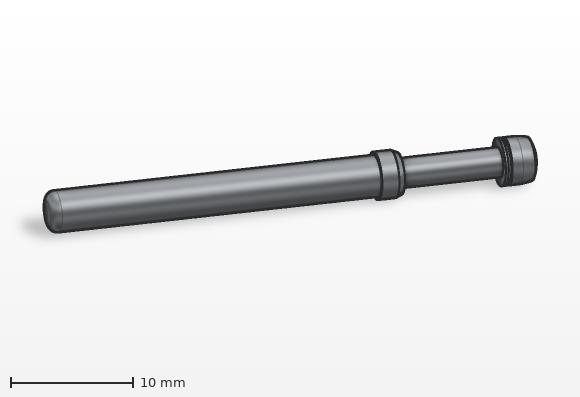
import cadquery as cq

TOTAL_LENGTH = 41.5

BARREL_RADIUS = 1.75
BARREL_END_FILLET = 0.8

COLLAR_RADIUS = 2.0
COLLAR_START = 27.95
COLLAR_LENGTH = 2.0
COLLAR_TAPER_LENGTH = 0.55
COLLAR_END = COLLAR_START + COLLAR_LENGTH

SHAFT_RADIUS = 1.25

HEAD_RADIUS = 2.0
HEAD_LENGTH = 3.07
HEAD_START = TOTAL_LENGTH - HEAD_LENGTH
RIM_LENGTH = 0.25
GROOVE_TAPER_LENGTH = 0.25
GROOVE_WALL_LENGTH = 0.1
GROOVE_DEPTH = 0.1
BAND_LENGTH = 0.9
DOME_EDGE_RADIUS = 1.83
DOME_HEIGHT = 0.5


def cylinder(radius, start, end):
    """Round bar about the Y axis from Y = start to Y = end."""
    return cq.Workplane("XZ", origin=(0, end, 0)).circle(radius).extrude(end - start)


def make_barrel():
    barrel = cylinder(BARREL_RADIUS, 0, COLLAR_END)
    return barrel.faces("<Y").edges().fillet(BARREL_END_FILLET)


def make_collar():
    """Collar whose front tapers down to the barrel radius."""
    collar = cylinder(COLLAR_RADIUS, COLLAR_START, COLLAR_END)
    taper_height = COLLAR_RADIUS - BARREL_RADIUS
    return collar.faces(">Y").chamfer(COLLAR_TAPER_LENGTH, taper_height)


def make_head():
    """Revolved head; the groove is steep on the tip side and tapered on the rim side."""
    rim_end = HEAD_START + RIM_LENGTH
    groove_bottom = rim_end + GROOVE_TAPER_LENGTH
    band_start = groove_bottom + GROOVE_WALL_LENGTH
    band_end = band_start + BAND_LENGTH
    dome_start = TOTAL_LENGTH - DOME_HEIGHT
    dome_sphere = (DOME_EDGE_RADIUS**2 + DOME_HEIGHT**2) / (2 * DOME_HEIGHT)
    dome_center = TOTAL_LENGTH - dome_sphere
    dome_mid_radius = DOME_EDGE_RADIUS / 2
    dome_mid = dome_center + (dome_sphere**2 - dome_mid_radius**2) ** 0.5
    return (
        cq.Workplane("XY")
        .moveTo(0, HEAD_START)
        .lineTo(HEAD_RADIUS, HEAD_START)
        .lineTo(HEAD_RADIUS, rim_end)
        .lineTo(HEAD_RADIUS - GROOVE_DEPTH, groove_bottom)
        .lineTo(HEAD_RADIUS, band_start)
        .lineTo(HEAD_RADIUS, band_end)
        .tangentArcPoint((DOME_EDGE_RADIUS, dome_start), relative=False)
        .threePointArc((dome_mid_radius, dome_mid), (0, TOTAL_LENGTH))
        .close()
        .revolve(360, (0, 0, 0), (0, 1, 0))
    )


shaft = cylinder(SHAFT_RADIUS, COLLAR_START, HEAD_START + RIM_LENGTH)
result = make_barrel().union(make_collar()).union(shaft).union(make_head())